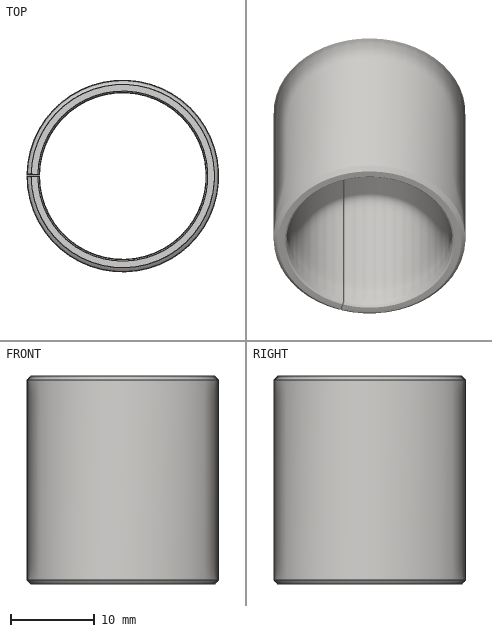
import cadquery as cq

length = 25.0
outer_diameter = 23.0
bore_diameter = 20.0
outer_chamfer = 0.5
bore_chamfer = 0.2
gap_angle = 1.0

outer_radius = outer_diameter / 2
bore_radius = bore_diameter / 2


def make_wall_profile():
    """Wall section on the -X side of the XZ plane, chamfered at all four corners."""
    return (
        cq.Workplane("XZ")
        .moveTo(-outer_radius, outer_chamfer)
        .lineTo(-outer_radius + outer_chamfer, 0)
        .lineTo(-bore_radius - bore_chamfer, 0)
        .lineTo(-bore_radius, bore_chamfer)
        .lineTo(-bore_radius, length - bore_chamfer)
        .lineTo(-bore_radius - bore_chamfer, length)
        .lineTo(-outer_radius + outer_chamfer, length)
        .lineTo(-outer_radius, length - outer_chamfer)
        .close()
    )


result = make_wall_profile().revolve(360 - gap_angle, (0, 0, 0), (0, 1, 0))